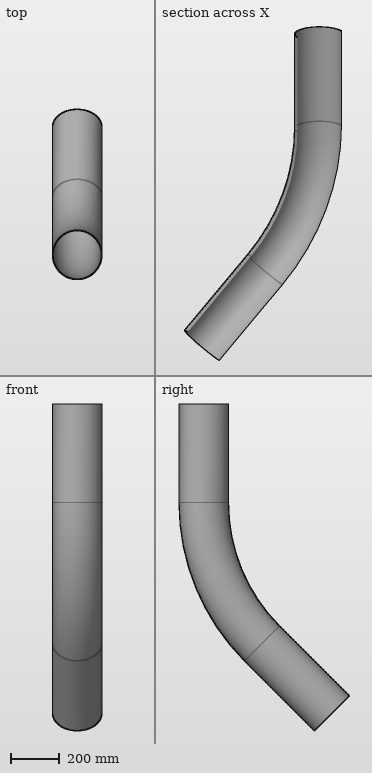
import cadquery as cq
import math

OVERALL_HEIGHT = 1340.0
OUTER_DIAMETER = 204.0
INNER_DIAMETER = 197.0
BEND_RADIUS = 4 * OUTER_DIAMETER
BEND_ANGLE = 45.0

sin_bend = math.sin(math.radians(BEND_ANGLE))
cos_bend = math.cos(math.radians(BEND_ANGLE))

rim_drop = OUTER_DIAMETER / 2 * sin_bend
leg_length = (OVERALL_HEIGHT - BEND_RADIUS * sin_bend - rim_drop) / (1 + cos_bend)


def arc_point(angle):
    """Centreline point (Y, Z) in the bend, angle in degrees from its upper end."""
    turn = math.radians(angle)
    return (BEND_RADIUS * (1 - math.cos(turn)), -BEND_RADIUS * math.sin(turn))


bend_end_y, bend_end_z = arc_point(BEND_ANGLE)
lower_end = (bend_end_y + leg_length * sin_bend, bend_end_z - leg_length * cos_bend)
centreline = (
    cq.Workplane("YZ")
    .moveTo(0, leg_length)
    .lineTo(0, 0)
    .threePointArc(arc_point(BEND_ANGLE / 2), (bend_end_y, bend_end_z))
    .lineTo(*lower_end)
)

result = (
    cq.Workplane("XY", origin=(0, 0, leg_length))
    .circle(OUTER_DIAMETER / 2)
    .circle(INNER_DIAMETER / 2)
    .sweep(centreline)
)